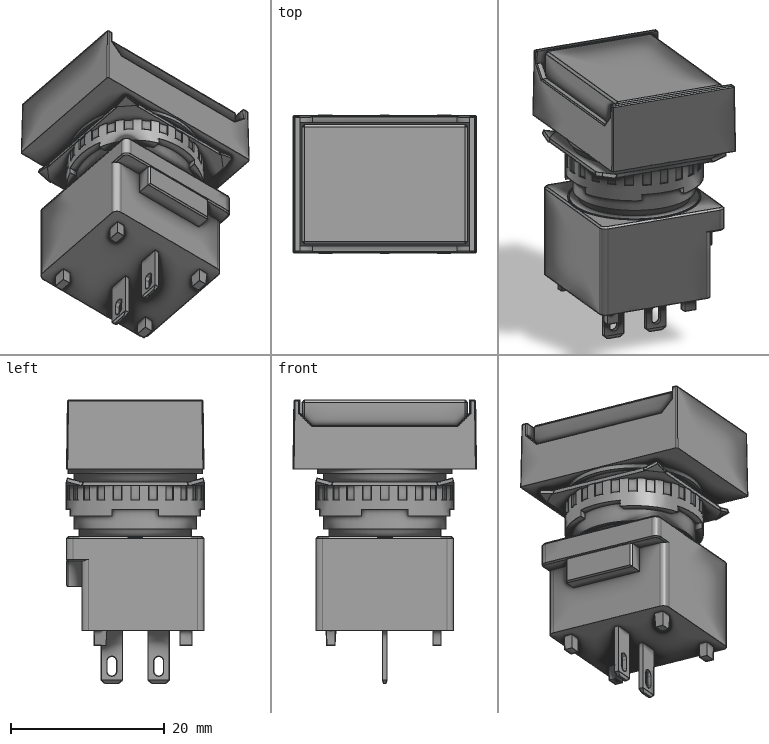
import cadquery as cq


BEZEL_LENGTH = 23.9
BEZEL_WIDTH = 17.9
BEZEL_HEIGHT = 9.0
BEZEL_DRAFT = 0.8
BEZEL_CHAMFER = 0.15
CAVITY_LENGTH = 22.1
CAVITY_WIDTH = 16.1
CAVITY_FLOOR = 2.0
NOTCH_FLOOR = 5.7
NOTCH_SLOPE = 1.62
FLANGE_DIAMETER = 17.5
FLANGE_THICKNESS = 0.6
BARREL_DIAMETER = 16.0
BARREL_BOTTOM = -7.8

LENS_GAP = 0.3
LENS_LENGTH = CAVITY_LENGTH - 2 * LENS_GAP
LENS_WIDTH = CAVITY_WIDTH - 2 * LENS_GAP
LENS_CHAMFER = 0.3

PLATE_SIDE = 17.8
PLATE_THICKNESS = 0.5
PLATE_TOP = -1.65
PLATE_BOTTOM = PLATE_TOP - PLATE_THICKNESS
TAB_LEG = 1.85
TAB_ANGLE = 22.0
TAB_ROOT = 0.3
NUT_DIAMETER = 18.0
NUT_BOTTOM = -6.1
GRIP_COUNT = 24
GRIP_WIDTH = 1.15
GRIP_DEPTH = 0.25
GRIP_BOTTOM = -4.0
SKIRT_NOTCH_WIDTH = 6.0
SKIRT_NOTCH_TOP = -5.25

BASE_SIDE = 17.9
BASE_TOP = -8.8
BASE_BOTTOM = -21.0
BASE_CORNER_RADIUS = 0.85
BASE_TOP_CHAMFER = 0.25
STEP_Y = 6.95
STEP_UNDERSIDE = -11.95
STEP_CHAMFER = 0.2
LUG_LENGTH = 10.0
LUG_BOTTOM = -15.3
LUG_CHAMFER = 0.2
NECK_DIAMETER = 14.6
GROOVE_DIAMETER = 17.15
GROOVE_WIDTH = 0.2
GROOVE_DEPTH = 0.1

FOOT_HEIGHT = 1.95
FOOT_SIZE = (1.1, 1.6)
STRAIGHT_FOOT_CENTERS = [(-7.0, -6.6), (6.8, -6.6), (6.8, 4.55)]
TAPERED_FOOT_CENTER = (-7.0, 4.55)
TAPERED_FOOT_SIZE = (1.3, 1.7)
TAPERED_FOOT_DRAFT = 3.5

TERMINAL_Y = 3.05
TERMINAL_WIDTH = 2.8
TERMINAL_THICKNESS = 0.6
TERMINAL_TIP = -27.9
TIP_HEIGHT = 0.45
TIP_SIDE_CHAMFER = 0.5
TIP_FACE_CHAMFER = 0.15
EYE_WIDTH = 1.25
EYE_LENGTH = 2.55
EYE_Z = -25.65


def disc(diameter, bottom, top):
    """Cylinder on the Z axis between two heights."""
    return cq.Workplane("XY", origin=(0, 0, bottom)).circle(diameter / 2).extrude(top - bottom)


def block(length, width, bottom, top, center=(0, 0)):
    """Upright box between two heights."""
    return (
        cq.Workplane("XY", origin=(center[0], center[1], bottom))
        .rect(length, width)
        .extrude(top - bottom)
    )


def make_lens():
    lens = block(LENS_LENGTH, LENS_WIDTH, CAVITY_FLOOR, BEZEL_HEIGHT)
    return lens.edges("|Z or >Z").chamfer(LENS_CHAMFER)


def make_case():
    bezel = (
        cq.Workplane("XY")
        .rect(BEZEL_LENGTH, BEZEL_WIDTH)
        .extrude(BEZEL_HEIGHT, taper=BEZEL_DRAFT)
        .cut(block(CAVITY_LENGTH, CAVITY_WIDTH, CAVITY_FLOOR, BEZEL_HEIGHT))
    )
    half_top = CAVITY_LENGTH / 2
    half_floor = half_top - NOTCH_SLOPE
    slope_top = NOTCH_FLOOR + NOTCH_SLOPE
    wall_notch = (
        cq.Workplane("XZ")
        .polyline([
            (-half_top, BEZEL_HEIGHT),
            (-half_top, slope_top),
            (-half_floor, NOTCH_FLOOR),
            (half_floor, NOTCH_FLOOR),
            (half_top, slope_top),
            (half_top, BEZEL_HEIGHT),
        ])
        .close()
        .extrude(BEZEL_WIDTH, both=True)
    )
    bezel = bezel.cut(wall_notch)
    long_face_edges = bezel.faces("<Y or >Y").edges("not <Z")
    end_face_edges = bezel.faces("<X or >X").edges(">Z")
    bezel = long_face_edges.add(end_face_edges).chamfer(BEZEL_CHAMFER)

    flange = disc(FLANGE_DIAMETER, -FLANGE_THICKNESS, 0)
    barrel = disc(BARREL_DIAMETER, BARREL_BOTTOM, 0)
    return bezel.union(flange).union(barrel)


def make_corner_tab(quarter):
    """One plate corner, bent up about a diagonal line on the plate's top face."""
    half = PLATE_SIDE / 2
    bend = half - TAB_LEG / 2
    blank_leg = TAB_LEG + TAB_ROOT
    tab = (
        cq.Workplane("XY", origin=(0, 0, PLATE_BOTTOM))
        .polyline([(half, half), (half - blank_leg, half), (half, half - blank_leg)])
        .close()
        .extrude(PLATE_THICKNESS)
        .rotate((bend, bend, PLATE_TOP), (bend + 1, bend - 1, PLATE_TOP), TAB_ANGLE)
    )
    above_nut = block(2 * PLATE_SIDE, 2 * PLATE_SIDE, PLATE_BOTTOM, 0)
    return tab.intersect(above_nut).rotate((0, 0, 0), (0, 0, 1), 90 * quarter)


def make_mounting_ring():
    plate = block(PLATE_SIDE, PLATE_SIDE, PLATE_BOTTOM, PLATE_TOP).edges("|Z").chamfer(TAB_LEG)
    for quarter in range(4):
        plate = plate.union(make_corner_tab(quarter))

    nut = disc(NUT_DIAMETER, NUT_BOTTOM, PLATE_BOTTOM)
    nut_radius = NUT_DIAMETER / 2
    for index in range(GRIP_COUNT):
        grip = block(2 * GRIP_DEPTH, GRIP_WIDTH, GRIP_BOTTOM, PLATE_BOTTOM, (nut_radius, 0))
        nut = nut.cut(grip.rotate((0, 0, 0), (0, 0, 1), index * 360 / GRIP_COUNT))
    nut = nut.cut(block(NUT_DIAMETER, SKIRT_NOTCH_WIDTH, NUT_BOTTOM, SKIRT_NOTCH_TOP))
    nut = nut.cut(block(SKIRT_NOTCH_WIDTH, NUT_DIAMETER, NUT_BOTTOM, SKIRT_NOTCH_TOP))

    return plate.union(nut).cut(disc(BARREL_DIAMETER, NUT_BOTTOM, 0))


def make_terminal(y):
    """Flat solder tag with an eye and a bevelled tip."""
    terminal = block(TERMINAL_THICKNESS, TERMINAL_WIDTH, TERMINAL_TIP, BASE_BOTTOM, (0, y))
    terminal = terminal.faces("<Z").edges("|X").chamfer(TIP_HEIGHT, TIP_SIDE_CHAMFER)
    terminal = terminal.faces("<Z").edges("|Y").chamfer(TIP_HEIGHT, TIP_FACE_CHAMFER)
    eye = (
        cq.Workplane("YZ", origin=(0, y, EYE_Z))
        .slot2D(EYE_LENGTH, EYE_WIDTH, 90)
        .extrude(TERMINAL_THICKNESS, both=True)
    )
    return terminal.cut(eye)


def make_feet():
    tapered = (
        cq.Workplane("XY", origin=(*TAPERED_FOOT_CENTER, BASE_BOTTOM))
        .rect(*TAPERED_FOOT_SIZE)
        .extrude(-FOOT_HEIGHT, taper=TAPERED_FOOT_DRAFT)
    )
    straight = (
        cq.Workplane("XY", origin=(0, 0, BASE_BOTTOM))
        .pushPoints(STRAIGHT_FOOT_CENTERS)
        .rect(*FOOT_SIZE)
        .extrude(-FOOT_HEIGHT)
    )
    return tapered.union(straight)


def make_base():
    half = BASE_SIDE / 2
    slab = block(BASE_SIDE, BASE_SIDE, STEP_UNDERSIDE, BASE_TOP).edges("|Z").fillet(BASE_CORNER_RADIUS)
    slab = slab.faces(">Z").edges().chamfer(BASE_TOP_CHAMFER)
    slab = slab.faces("<Z").edges().chamfer(STEP_CHAMFER)
    lower_top = STEP_UNDERSIDE + STEP_CHAMFER
    lower_width = half + STEP_Y
    lower_center = (0, (STEP_Y - half) / 2)
    lower = block(BASE_SIDE, lower_width, BASE_BOTTOM, lower_top, lower_center)
    lower = lower.edges("|Z").fillet(BASE_CORNER_RADIUS)

    lug_width = half - STEP_Y
    lug_center = (0, (half + STEP_Y) / 2)
    lug = block(LUG_LENGTH, lug_width, LUG_BOTTOM, STEP_UNDERSIDE, lug_center)
    lug = lug.faces(">Y").edges("|Z or <Z").chamfer(LUG_CHAMFER)

    neck = disc(NECK_DIAMETER, BASE_TOP, BARREL_BOTTOM)
    groove = disc(GROOVE_DIAMETER + GROOVE_WIDTH, BASE_TOP - GROOVE_DEPTH, BASE_TOP).cut(
        disc(GROOVE_DIAMETER - GROOVE_WIDTH, BASE_TOP - GROOVE_DEPTH, BASE_TOP)
    )
    base = slab.union(lower).union(lug).cut(groove).union(neck).union(make_feet())
    for side in (-1, 1):
        base = base.union(make_terminal(side * TERMINAL_Y))
    return base


lens = make_lens()
case = make_case()
mounting_ring = make_mounting_ring()
base = make_base()

result = cq.Compound.makeCompound([
    lens.val(),
    case.val(),
    mounting_ring.val(),
    base.val(),
])